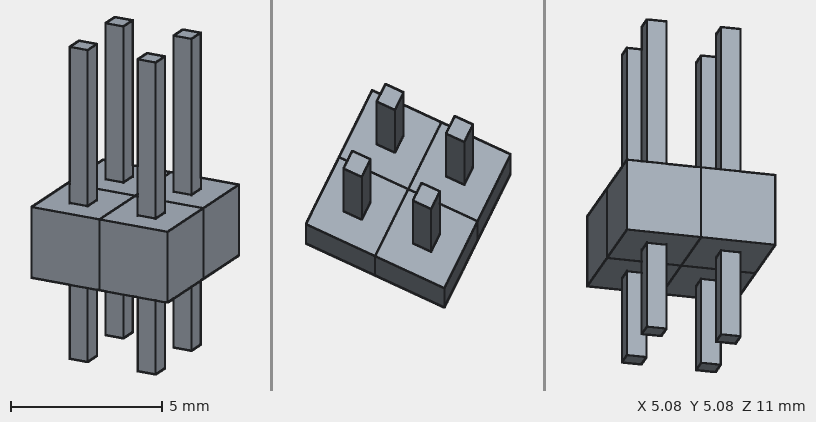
import cadquery as cq

pitch = 2.54
columns = 2
rows = 2

block_height = 2.5

pin_width = 0.67
pin_length = 11.0
pin_tail = 3.0


def pin_at(x, y):
    """Square pin whose lower end hangs below the block."""
    return (
        cq.Workplane("XY", origin=(x, y, -pin_tail))
        .rect(pin_width, pin_width)
        .extrude(pin_length)
    )


def block_at(x, y):
    """Square insulator block, standing on Z = 0, with a through hole that fits the pin."""
    return (
        cq.Workplane("XY", origin=(x, y, 0))
        .rect(pitch, pitch)
        .rect(pin_width, pin_width)
        .extrude(block_height)
    )


positions = [
    ((column - (columns - 1) / 2) * pitch, (row - (rows - 1) / 2) * pitch)
    for column in range(columns)
    for row in range(rows)
]

blocks = [block_at(x, y).val() for x, y in positions]
pins = [pin_at(x, y).val() for x, y in positions]

result = cq.Compound.makeCompound([*blocks, *pins])